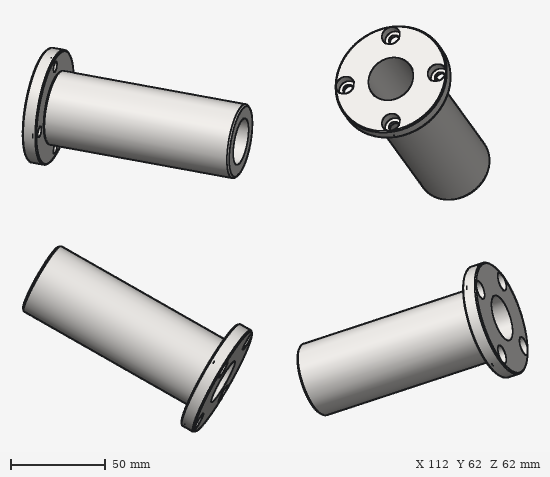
import cadquery as cq

total_length = 112.0
flange_diameter = 62.0
flange_thickness = 8.0
barrel_diameter = 40.0
bore_diameter = 25.0
flange_chamfer = 0.7
barrel_chamfer = 1.0

relief_width = 0.7
relief_depth = 0.8

hole_count = 4
hole_circle_diameter = 51.0
hole_diameter = 5.8
counterbore_diameter = 10.0
counterbore_depth = 5.7


def cylinder(diameter, start, length):
    """Solid cylinder on the X axis."""
    return cq.Workplane("YZ", origin=(start, 0, 0)).circle(diameter / 2).extrude(length)


def make_flange():
    return cylinder(flange_diameter, 0, flange_thickness).edges().chamfer(flange_chamfer)


def make_barrel():
    neck = cylinder(barrel_diameter - 2 * relief_depth, 0, flange_thickness + relief_width)
    barrel_start = flange_thickness + relief_width
    barrel = cylinder(barrel_diameter, barrel_start, total_length - barrel_start)
    return neck.union(barrel.faces(">X").edges().chamfer(barrel_chamfer))


def make_mounting_hole_cutters():
    """Through holes with counterbores opening on the flange face."""
    pattern = cq.Workplane("YZ").polarArray(hole_circle_diameter / 2, 0, 360, hole_count)
    holes = pattern.circle(hole_diameter / 2).extrude(flange_thickness)
    counterbores = pattern.circle(counterbore_diameter / 2).extrude(counterbore_depth)
    return holes.union(counterbores)


bore = cylinder(bore_diameter, 0, total_length)
result = make_flange().union(make_barrel()).cut(bore).cut(make_mounting_hole_cutters())